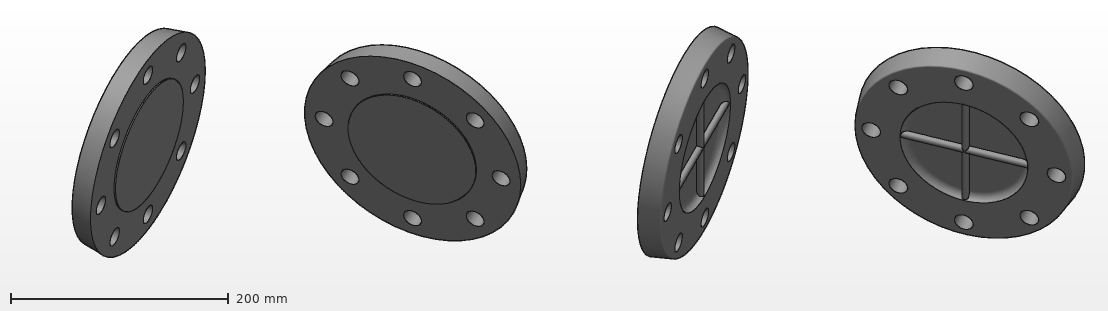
import cadquery as cq
import math

flange_diameter = 220.0
flange_thickness = 22.0
rim_draft_angle = 10.0
front_edge_radius = 1.5

raised_face_diameter = 130.0
raised_face_height = 1.5

bolt_hole_count = 8
bolt_hole_diameter = 18.0
bolt_circle_diameter = 180.0

recess_floor_diameter = 110.0
recess_depth = 7.0
recess_diameter = recess_floor_diameter + 2 * recess_depth

rib_width = 6.2
rib_height = 6.0


def disc(diameter, x_start, length):
    return cq.Workplane("YZ").workplane(offset=x_start).circle(diameter / 2).extrude(length)


def flange_body():
    back_radius = flange_diameter / 2
    front_radius = back_radius - flange_thickness * math.tan(math.radians(rim_draft_angle))
    body = (
        cq.Workplane("XY")
        .moveTo(0, 0)
        .lineTo(0, front_radius)
        .lineTo(flange_thickness, back_radius)
        .lineTo(flange_thickness, 0)
        .close()
        .revolve(360, (0, 0, 0), (1, 0, 0))
    )
    return body.faces("<X").edges().fillet(front_edge_radius)


def bolt_holes():
    return (
        cq.Workplane("YZ")
        .polarArray(bolt_circle_diameter / 2, 0, 360, bolt_hole_count)
        .circle(bolt_hole_diameter / 2)
        .extrude(flange_thickness)
    )


def recess():
    floor_radius = recess_floor_diameter / 2
    arc_offset = recess_depth * math.sqrt(0.5)
    return (
        cq.Workplane("XY")
        .moveTo(0, 0)
        .lineTo(0, recess_diameter / 2)
        .threePointArc((arc_offset, floor_radius + arc_offset), (recess_depth, floor_radius))
        .lineTo(recess_depth, 0)
        .close()
        .revolve(360, (0, 0, 0), (1, 0, 0))
    )


def rib_along_z():
    half_width = rib_width / 2
    crest_x = recess_depth - rib_height
    shoulder_x = crest_x + half_width
    return (
        cq.Workplane("XY")
        .workplane(offset=-recess_diameter / 2)
        .moveTo(recess_depth, -half_width)
        .lineTo(shoulder_x, -half_width)
        .threePointArc((crest_x, 0), (shoulder_x, half_width))
        .lineTo(recess_depth, half_width)
        .close()
        .extrude(recess_diameter)
    )


vertical_rib = rib_along_z()
cross_rib = vertical_rib.rotate((0, 0, 0), (1, 0, 0), 90)
pocket = recess().cut(vertical_rib).cut(cross_rib)

result = (
    flange_body()
    .union(disc(raised_face_diameter, flange_thickness, raised_face_height))
    .cut(pocket)
    .cut(bolt_holes())
)